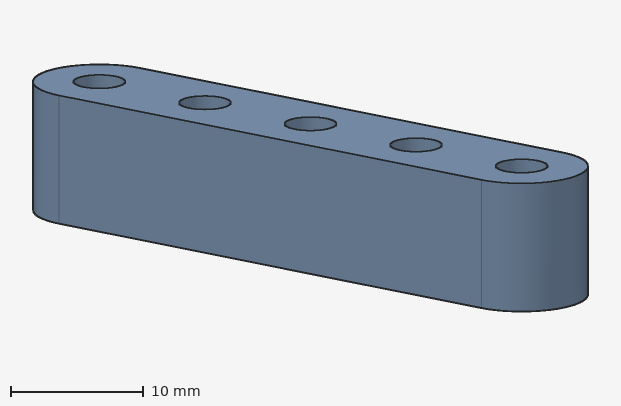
import cadquery as cq

length = 50.0
width = 10.0
height = 10.0
hole_diameter = 3.9
hole_count = 5

hole_pitch = (length - width) / (hole_count - 1)

bar = cq.Workplane("XY").slot2D(length, width).extrude(height / 2, both=True)

result = (
    bar.faces(">Z")
    .workplane(origin=(0, 0, height / 2))
    .rarray(hole_pitch, 0.5, hole_count, 1)
    .hole(hole_diameter)
)